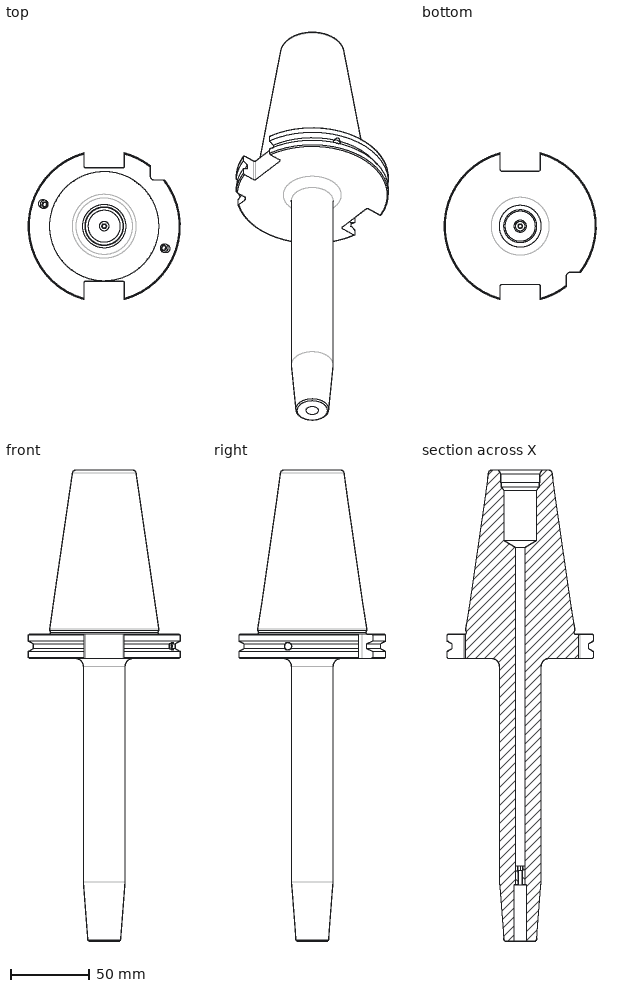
import cadquery as cq
import math


total_length = 301.5
taper_top = 101.5
nose_bottom = taper_top - total_length

gauge_radius = 35.0
taper_ratio = 7 / 24
taper_top_radius = gauge_radius - taper_top * taper_ratio / 2
taper_top_fillet = 2.5
gauge_land = 1.2
undercut_depth = 0.5

flange_diameter = 97.5
flange_radius = flange_diameter / 2
flange_top = -3.3
flange_bottom = -19.0
flange_chamfer = 0.75
groove_floor_radius = 45.5
groove_centre = -11.2
groove_floor_width = 3.0
groove_side_angle = 30
groove_depth = flange_radius - groove_floor_radius
groove_mouth_width = groove_floor_width + 2 * groove_depth * math.tan(math.radians(groove_side_angle))

slot_width = 25.5
slot_corner_radius = 1.0
back_slot_floor = 37.5
front_slot_floor = 35.3
notch_offset = 29.5
notch_corner_radius = 2.5

neck_diameter = 26.8
neck_radius = neck_diameter / 2
neck_fillet = 5.0
nose_length = 38.0
nose_tip_radius = 10.5
nose_chamfer = 1.0

mouth_radius = 14.0
mouth_chamfer_depth = 2.7
pilot_radius = 12.5
pilot_depth = 8.0
thread_radius = 12.0
thread_depth = 11.0
core_radius = 10.3
core_start_depth = 13.3
core_depth = 45.2
drill_tip_angle = 118
drill_tip_height = core_radius / math.tan(math.radians(drill_tip_angle / 2))

tool_bore_radius = 4.0
tool_bore_depth = 36.2
coolant_radius = 3.0
stop_screw_length = 12.0
stop_screw_hex = 3.0
stop_screw_hex_depth = 3.0
stop_screw_bore_radius = 1.2

channel_angles = (160, 340)
face_screw_radius = 2.7
face_screw_circle = 41.5
face_screw_tilt = 25
face_screw_recess = 1.8
face_screw_length = 2.0
face_screw_hex = 3.0
face_screw_hex_depth = 1.5
rim_plug_radius = 2.5
rim_plug_recess = 0.5
rim_plug_length = 4.5

hex_corner_factor = 2 / math.sqrt(3)


def turned_holder():
    """The taper, flange, neck and nose as one turned solid."""
    undercut_radius = gauge_radius - undercut_depth
    undercut_middle = (flange_top - gauge_land) / 2
    profile = (
        cq.Workplane("XZ")
        .moveTo(0, taper_top)
        .lineTo(taper_top_radius, taper_top)
        .lineTo(gauge_radius, 0)
        .lineTo(gauge_radius, -gauge_land)
        .lineTo(undercut_radius, undercut_middle)
        .lineTo(gauge_radius, flange_top)
        .lineTo(flange_radius - flange_chamfer, flange_top)
        .lineTo(flange_radius, flange_top - flange_chamfer)
        .lineTo(flange_radius, groove_centre + groove_mouth_width / 2)
        .lineTo(groove_floor_radius, groove_centre + groove_floor_width / 2)
        .lineTo(groove_floor_radius, groove_centre - groove_floor_width / 2)
        .lineTo(flange_radius, groove_centre - groove_mouth_width / 2)
        .lineTo(flange_radius, flange_bottom + flange_chamfer)
        .lineTo(flange_radius - flange_chamfer, flange_bottom)
        .lineTo(neck_radius + neck_fillet, flange_bottom)
        .radiusArc((neck_radius, flange_bottom - neck_fillet), -neck_fillet)
        .lineTo(neck_radius, nose_bottom + nose_length)
        .lineTo(nose_tip_radius, nose_bottom + nose_chamfer)
        .lineTo(nose_tip_radius - nose_chamfer, nose_bottom)
        .lineTo(0, nose_bottom)
        .close()
    )
    turned = profile.revolve(360, (0, 0, 0), (0, 1, 0))
    return turned.faces(">Z").edges().fillet(taper_top_fillet)


def pull_stud_bore():
    """The stepped bore in the top face, ending in a drill point."""
    return (
        cq.Workplane("XZ")
        .moveTo(0, taper_top)
        .lineTo(mouth_radius, taper_top)
        .lineTo(pilot_radius, taper_top - mouth_chamfer_depth)
        .lineTo(pilot_radius, taper_top - pilot_depth)
        .lineTo(thread_radius, taper_top - pilot_depth)
        .lineTo(thread_radius, taper_top - thread_depth)
        .lineTo(core_radius, taper_top - core_start_depth)
        .lineTo(core_radius, taper_top - core_depth)
        .lineTo(0, taper_top - core_depth - drill_tip_height)
        .close()
        .revolve(360, (0, 0, 0), (0, 1, 0))
    )


def coolant_and_tool_bore():
    """The narrow bore along the whole axis and the wider tool seat at its lower end."""
    coolant = (
        cq.Workplane("XY", origin=(0, 0, nose_bottom))
        .circle(coolant_radius)
        .extrude(total_length - core_depth)
    )
    tool_seat = (
        cq.Workplane("XY", origin=(0, 0, nose_bottom))
        .circle(tool_bore_radius)
        .extrude(tool_bore_depth)
    )
    return coolant.union(tool_seat)


def drive_slot(floor_distance, side):
    """A slot across the flange rim, on the +Y (side = 1) or -Y (side = -1) side."""
    slot_length = flange_radius
    slot = (
        cq.Workplane("XY", origin=(0, side * (floor_distance + slot_length / 2), flange_bottom))
        .rect(slot_width, slot_length)
        .extrude(flange_top - flange_bottom)
    )
    floor_corners = slot.faces("<Y" if side > 0 else ">Y").edges("|Z")
    return floor_corners.fillet(slot_corner_radius)


def orientation_notch():
    """The square notch in the +X +Y quarter of the flange."""
    return (
        cq.Workplane("XY", origin=(notch_offset, notch_offset, flange_bottom))
        .rect(flange_radius, flange_radius, centered=False)
        .extrude(flange_top - flange_bottom)
        .edges("|Z and <X and <Y")
        .fillet(notch_corner_radius)
    )


def face_screw_plane(angle):
    """A plane on the upper flange face whose normal points down along the tilted screw."""
    direction = math.radians(angle)
    tilt = math.radians(face_screw_tilt)
    inward = (-math.cos(direction), -math.sin(direction))
    return cq.Plane(
        origin=(-inward[0] * face_screw_circle, -inward[1] * face_screw_circle, flange_top),
        xDir=(-math.sin(direction), math.cos(direction), 0),
        normal=(inward[0] * math.sin(tilt), inward[1] * math.sin(tilt), -math.cos(tilt)),
    )


def rim_plug_plane(angle):
    """A plane touching the groove floor whose normal points to the axis."""
    direction = math.radians(angle)
    outward = (math.cos(direction), math.sin(direction))
    return cq.Plane(
        origin=(outward[0] * groove_floor_radius, outward[1] * groove_floor_radius, groove_centre),
        xDir=(-outward[1], outward[0], 0),
        normal=(-outward[0], -outward[1], 0),
    )


def sealing_hole(plane, radius, depth):
    """A blind hole along the plane's normal, open on the outer side of the plane."""
    overrun = 2 * radius
    return cq.Workplane(plane).workplane(offset=-overrun).circle(radius).extrude(overrun + depth)


def face_screw(angle):
    """A headless screw below the flange face, with a hexagon socket in its outer end."""
    outer_end = cq.Workplane(face_screw_plane(angle)).workplane(offset=face_screw_recess)
    body = outer_end.circle(face_screw_radius).extrude(face_screw_length)
    socket = outer_end.polygon(6, face_screw_hex * hex_corner_factor).extrude(face_screw_hex_depth)
    return body.cut(socket)


def rim_plug(angle):
    """A plain round plug just below the groove floor."""
    outer_end = cq.Workplane(rim_plug_plane(angle)).workplane(offset=rim_plug_recess)
    return outer_end.circle(rim_plug_radius).extrude(rim_plug_length)


def stop_screw():
    """The length stop above the tool seat, with a coolant hole and a hexagon socket in its upper end."""
    lower_end = cq.Workplane("XY", origin=(0, 0, nose_bottom + tool_bore_depth))
    body = lower_end.circle(coolant_radius).circle(stop_screw_bore_radius).extrude(stop_screw_length)
    socket = (
        lower_end.workplane(offset=stop_screw_length)
        .polygon(6, stop_screw_hex * hex_corner_factor)
        .extrude(-stop_screw_hex_depth)
    )
    return body.cut(socket)


def holder():
    """The tool holder with all its bores, slots and sealing holes."""
    body = turned_holder().cut(pull_stud_bore()).cut(coolant_and_tool_bore())
    body = body.cut(drive_slot(back_slot_floor, 1)).cut(drive_slot(front_slot_floor, -1))
    body = body.cut(orientation_notch())
    for angle in channel_angles:
        face_hole_depth = face_screw_recess + face_screw_length
        body = body.cut(sealing_hole(face_screw_plane(angle), face_screw_radius, face_hole_depth))
        rim_hole_depth = rim_plug_recess + rim_plug_length
        body = body.cut(sealing_hole(rim_plug_plane(angle), rim_plug_radius, rim_hole_depth))
    return body


bodies = [holder().val(), stop_screw().val()]
for channel_angle in channel_angles:
    bodies.append(face_screw(channel_angle).val())
    bodies.append(rim_plug(channel_angle).val())

result = cq.Compound.makeCompound(bodies)